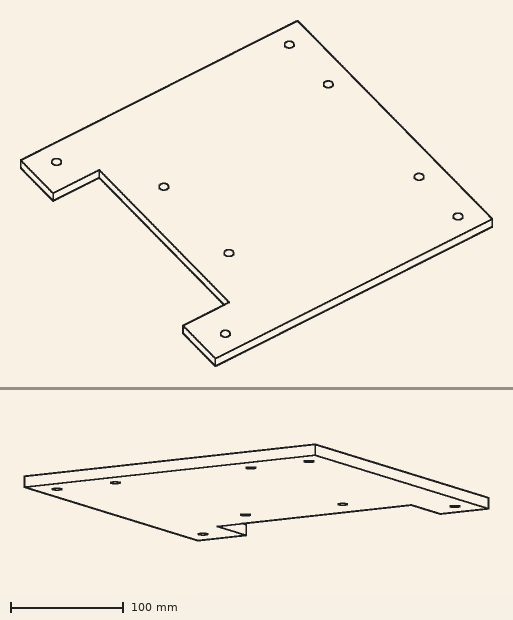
import cadquery as cq

side = 300.0
thickness = 10.0

leg_width = side / 6
notch_width = side - 2 * leg_width
notch_depth = leg_width

hole_diameter = 8.5
corner_hole_x = 130.0
back_inner_hole_x = 70.0
front_inner_hole_x = 50.0
back_row_y = 127.0
front_inner_row_y = -65.0
leg_row_y = -125.0

hole_pairs = [
    (corner_hole_x, back_row_y),
    (back_inner_hole_x, back_row_y),
    (front_inner_hole_x, front_inner_row_y),
    (corner_hole_x, leg_row_y),
]
hole_points = [(sign * x, y) for x, y in hole_pairs for sign in (-1, 1)]

plate = cq.Workplane("XY").box(side, side, thickness, centered=(True, True, False))

notch = (
    cq.Workplane("XY")
    .center(0, (notch_depth - side) / 2)
    .rect(notch_width, notch_depth)
    .extrude(thickness)
)

holes = (
    cq.Workplane("XY")
    .pushPoints(hole_points)
    .circle(hole_diameter / 2)
    .extrude(thickness)
)

result = plate.cut(notch).cut(holes)